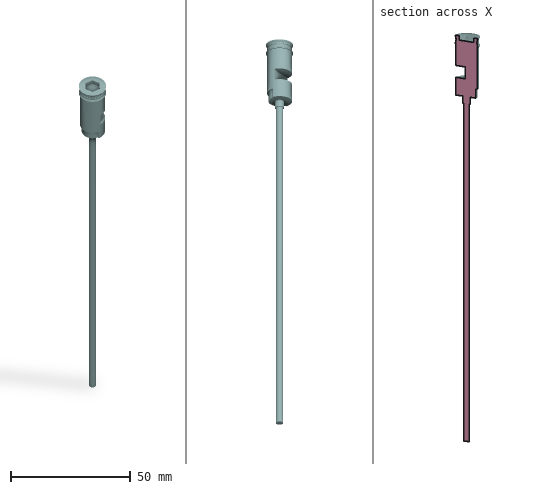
import cadquery as cq

total_height = 176.5
head_radius = 5.3
rim_radius = 5.74
neck_radius = 2.0
rod_radius = 1.5

head_length = 26.3
neck_length = 3.0
head_bottom = total_height - head_length
neck_bottom = head_bottom - neck_length

rim_height = 0.2
collar_depth = 3.9
rim_flare = 0.7
groove_width = 0.5
groove_depth = 0.2

socket_flats = 6.0
socket_depth = 2.0

slot_top_depth = 13.5
slot_height = 5.0
slot_floor_y = 0.7

foot_radius = 4.6
foot_height = 3.9
foot_fillet = 1.0


def cylinder(radius, bottom, top):
    return cq.Workplane("XY").workplane(offset=bottom).circle(radius).extrude(top - bottom)


def make_head():
    """Revolve the head with its two tapered rims and the groove between them."""
    collar_bottom = total_height - collar_depth
    groove_bottom = total_height - (collar_depth + groove_width) / 2
    groove_top = groove_bottom + groove_width
    groove_radius = head_radius - groove_depth
    lower_rim_top = collar_bottom + rim_height
    upper_rim_bottom = total_height - rim_height
    return (
        cq.Workplane("XZ")
        .moveTo(0, head_bottom)
        .lineTo(head_radius, head_bottom)
        .lineTo(head_radius, collar_bottom)
        .lineTo(rim_radius, collar_bottom)
        .lineTo(rim_radius, lower_rim_top)
        .lineTo(head_radius, lower_rim_top + rim_flare)
        .lineTo(head_radius, groove_bottom)
        .lineTo(groove_radius, groove_bottom)
        .lineTo(groove_radius, groove_top)
        .lineTo(head_radius, groove_top)
        .lineTo(head_radius, upper_rim_bottom - rim_flare)
        .lineTo(rim_radius, upper_rim_bottom)
        .lineTo(rim_radius, total_height)
        .lineTo(0, total_height)
        .close()
        .revolve(360, (0, 0), (0, 1))
    )


def make_foot_relief():
    """Half ring that thins the -Y half of the foot, rounded where it meets the Y = 0 ledges."""
    outer_radius = 2 * head_radius
    return (
        cq.Workplane("XY")
        .workplane(offset=head_bottom)
        .moveTo(foot_radius, 0)
        .lineTo(outer_radius, 0)
        .threePointArc((0, -outer_radius), (-outer_radius, 0))
        .lineTo(-foot_radius, 0)
        .threePointArc((0, -foot_radius), (foot_radius, 0))
        .close()
        .extrude(foot_height)
        .edges(cq.selectors.BoxSelector(
            (-head_radius, -foot_fillet, head_bottom),
            (head_radius, foot_fillet, head_bottom + foot_height),
        ))
        .edges("|Z")
        .fillet(foot_fillet)
    )


def make_slot():
    """Block that opens the slot through the full width of the +Y side."""
    slot_bottom = total_height - slot_top_depth - slot_height
    return cq.Workplane("XY").box(
        2 * rim_radius, rim_radius, slot_height, centered=(True, False, False)
    ).translate((0, slot_floor_y, slot_bottom))


def make_socket():
    """Hexagonal prism sunk into the top face."""
    return (
        cq.Workplane("XY")
        .workplane(offset=total_height - socket_depth)
        .polygon(6, socket_flats, circumscribed=True)
        .extrude(socket_depth)
    )


head = make_head().cut(make_foot_relief()).cut(make_slot()).cut(make_socket())
neck = cylinder(neck_radius, neck_bottom, head_bottom)
rod = cylinder(rod_radius, 0, neck_bottom)
result = head.union(neck).union(rod)